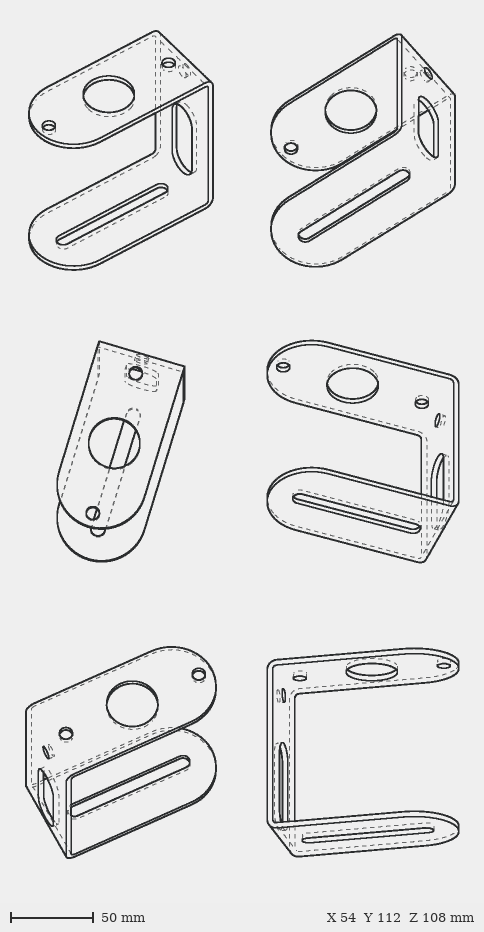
import cadquery as cq

width = 54.0
depth = 112.0
height = 108.0
thickness = 3.5
bend_radius = 6.0

end_radius = width / 2
end_centre_y = end_radius - depth
bottom_z = -height / 2
top_z = height / 2

small_hole_diameter = 8.0
back_hole_y = -13.5
front_hole_y = -103.5
large_hole_diameter = 31.0
large_hole_y = -58.5

bottom_slot_width = 8.5
bottom_slot_back_y = -15.0
bottom_slot_front_y = -97.0

back_slot_width = 20.0
back_slot_length = 55.0
back_slot_z = -17.8
back_hole_z = top_z - 13.5


def plate_cutter(diameter, y, z):
    """Vertical cylinder passing through the flange with mid-thickness height z."""
    return (
        cq.Workplane("XY", origin=(0, y, z - thickness))
        .circle(diameter / 2)
        .extrude(2 * thickness)
    )


def bent_strap():
    """U-shaped strap, open towards -Y, with concentric bends."""
    outer = (
        cq.Workplane("XY")
        .box(width, depth, height)
        .translate((0, -depth / 2, 0))
        .edges("|X and >Y")
        .fillet(bend_radius)
    )
    inner = (
        cq.Workplane("XY")
        .box(width, depth, height - 2 * thickness)
        .translate((0, -depth / 2 - thickness, 0))
        .edges("|X and >Y")
        .fillet(bend_radius - thickness)
    )
    return outer.cut(inner)


def rounded_outline():
    """Plan outline: straight sides closed by a half circle at the front."""
    return (
        cq.Workplane("XY", origin=(0, 0, bottom_z))
        .moveTo(-end_radius, 0)
        .lineTo(-end_radius, end_centre_y)
        .threePointArc((0, -depth), (end_radius, end_centre_y))
        .lineTo(end_radius, 0)
        .close()
        .extrude(height)
    )


result = bent_strap().intersect(rounded_outline())

top_middle_z = top_z - thickness / 2
for hole_y in (back_hole_y, front_hole_y):
    result = result.cut(plate_cutter(small_hole_diameter, hole_y, top_middle_z))
result = result.cut(plate_cutter(large_hole_diameter, large_hole_y, top_middle_z))

bottom_slot_length = bottom_slot_back_y - bottom_slot_front_y
bottom_slot_y = (bottom_slot_back_y + bottom_slot_front_y) / 2
bottom_slot = (
    cq.Workplane("XY", origin=(0, bottom_slot_y, bottom_z))
    .slot2D(bottom_slot_length, bottom_slot_width, 90)
    .extrude(thickness)
)
result = result.cut(bottom_slot)

back_slot = (
    cq.Workplane("XZ", origin=(0, 0, back_slot_z))
    .slot2D(back_slot_length, back_slot_width, 90)
    .extrude(thickness)
)
back_hole = (
    cq.Workplane("XZ", origin=(0, 0, back_hole_z))
    .circle(small_hole_diameter / 2)
    .extrude(thickness)
)
result = result.cut(back_slot).cut(back_hole)